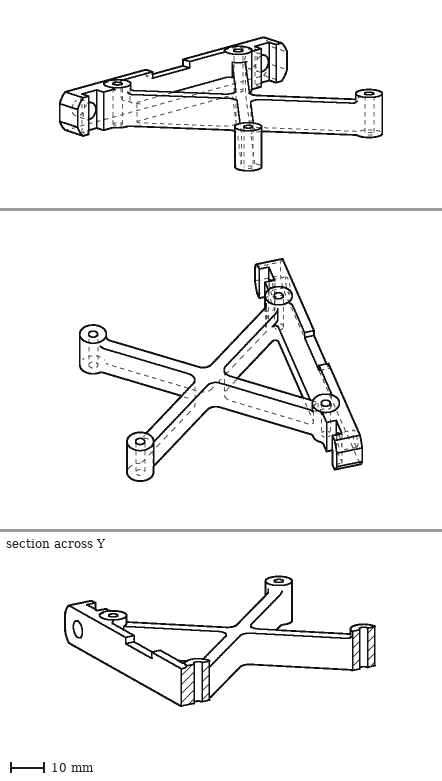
import cadquery as cq
import math

BAR_THICKNESS = 8.0
BAR_LENGTH = 85.0
BAR_HEIGHT = 12.0
MOUNT_SPACING = 70.0
MOUNT_HOLE_DIAMETER = 5.2
END_RADIUS = 8.0
NUT_SLOT_WIDTH = 6.0
NUT_SLOT_START_X = 5.0

WALL_THICKNESS = 3.0
RELIEF_FLOOR_Z = 6.0
NOTCH_WIDTH = 15.0
NOTCH_FLOOR_Z = 10.0

BOSS_DIAMETER = 8.0
BOSS_HEIGHT = 12.6
BOSS_HOLE_DIAMETER = 2.7
BOSS_SPACING_X = 58.0
BOSS_SPACING_Y = 49.0
BAR_BOSS_X = 6.0
ARM_WIDTH = 4.0
ARM_HEIGHT = 10.0

CROSS_FILLET = 3.0
JOINT_FILLET = 1.0

FAR_BOSS_X = BAR_BOSS_X + BOSS_SPACING_X
CROSS_X = BAR_BOSS_X + BOSS_SPACING_X / 2
BOSS_Y = BOSS_SPACING_Y / 2
BOSS_RADIUS = BOSS_DIAMETER / 2
BAR_BOSSES = [(BAR_BOSS_X, -BOSS_Y), (BAR_BOSS_X, BOSS_Y)]
FAR_BOSSES = [(FAR_BOSS_X, -BOSS_Y), (FAR_BOSS_X, BOSS_Y)]
ALL_BOSSES = BAR_BOSSES + FAR_BOSSES
MOUNT_YS = (-MOUNT_SPACING / 2, MOUNT_SPACING / 2)
BAR_Y_RANGE = (-BAR_LENGTH / 2, BAR_LENGTH / 2)


def block(x_range, y_range, z_range):
    """Axis-aligned block between the given limits."""
    ranges = (x_range, y_range, z_range)
    size = [high - low for low, high in ranges]
    low_corner = tuple(low for low, high in ranges)
    return cq.Workplane("XY").box(*size, centered=False).translate(low_corner)


def upright_edges_near(solid, x, y, reach, height):
    """Vertical edges of a prism of the given height within reach of (x, y)."""
    zone = cq.selectors.BoxSelector((x - reach, y - reach, 0), (x + reach, y + reach, height))
    return solid.edges("|Z").edges(zone)


def bosses(points, height):
    """Solid round bosses standing on Z = 0."""
    return cq.Workplane("XY").pushPoints(points).circle(BOSS_RADIUS).extrude(height)


def crossing_arms(height):
    """Two arms running diagonally between boss centres, rounded where they cross."""
    length = math.hypot(BOSS_SPACING_X, BOSS_SPACING_Y)
    angle = math.degrees(math.atan2(BOSS_SPACING_Y, BOSS_SPACING_X))
    arms = cq.Workplane("XY")
    for turn in (angle, -angle):
        arm = cq.Workplane("XY").rect(length, ARM_WIDTH).extrude(height)
        arms = arms.add(arm.rotate((0, 0, 0), (0, 0, 1), turn))
    arms = arms.combine()
    inner_edges = upright_edges_near(arms, 0, 0, 2 * ARM_WIDTH, height)
    return inner_edges.fillet(CROSS_FILLET).translate((CROSS_X, 0, 0))


def frame_plan(height):
    """Bar, arms and bosses as one flat prism with every inner joint rounded."""
    bar = block((0, BAR_THICKNESS), BAR_Y_RANGE, (0, height))
    plan = bar.union(crossing_arms(height)).union(bosses(ALL_BOSSES, height))
    for x, y in ALL_BOSSES:
        plan = upright_edges_near(plan, x, y, BOSS_DIAMETER, height).fillet(JOINT_FILLET)
    return plan


def flare(points, top_z):
    """Concave fillet rings around bosses that rise from a flat top at top_z."""
    core_radius = BOSS_RADIUS - JOINT_FILLET
    arc_reach = JOINT_FILLET * (1 - math.sqrt(0.5))
    ring = (
        cq.Workplane("XZ")
        .moveTo(core_radius, top_z)
        .lineTo(BOSS_RADIUS + JOINT_FILLET, top_z)
        .threePointArc(
            (BOSS_RADIUS + arc_reach, top_z + arc_reach),
            (BOSS_RADIUS, top_z + JOINT_FILLET),
        )
        .lineTo(core_radius, top_z + JOINT_FILLET)
        .close()
        .revolve(360, (0, 0, 0), (0, 1, 0))
    )
    rings = cq.Workplane("XY")
    for x, y in points:
        rings = rings.add(ring.translate((x, y, 0)))
    return rings.combine()


def bar_envelope():
    """Side outline of the bar, with ends rounded about the mounting holes."""
    half_length = BAR_LENGTH / 2
    middle_z = BAR_HEIGHT / 2
    end_offset = half_length - MOUNT_SPACING / 2
    flat_half = math.sqrt(END_RADIUS**2 - end_offset**2)
    straight_half = MOUNT_SPACING / 2 + math.sqrt(END_RADIUS**2 - middle_z**2)
    mid_angle = (math.asin(flat_half / END_RADIUS) + math.asin(middle_z / END_RADIUS)) / 2
    arc_y = MOUNT_SPACING / 2 + END_RADIUS * math.cos(mid_angle)
    arc_z = END_RADIUS * math.sin(mid_angle)
    return (
        cq.Workplane("YZ")
        .moveTo(-straight_half, -middle_z)
        .lineTo(straight_half, -middle_z)
        .threePointArc((arc_y, -arc_z), (half_length, -flat_half))
        .lineTo(half_length, flat_half)
        .threePointArc((arc_y, arc_z), (straight_half, middle_z))
        .lineTo(-straight_half, middle_z)
        .threePointArc((-arc_y, arc_z), (-half_length, flat_half))
        .lineTo(-half_length, -flat_half)
        .threePointArc((-arc_y, -arc_z), (-straight_half, -middle_z))
        .close()
        .extrude(BAR_THICKNESS + JOINT_FILLET)
        .translate((0, 0, middle_z))
    )


def relief_pocket():
    """Space to remove behind the front wall, between the bar bosses and clear of the arms."""
    outer_x = BAR_THICKNESS + 2 * JOINT_FILLET
    wall_to_boss = BAR_BOSS_X - WALL_THICKNESS
    half_width = BOSS_Y - math.sqrt(BOSS_RADIUS**2 - wall_to_boss**2)
    pocket = block(
        (WALL_THICKNESS, outer_x),
        (-half_width, half_width),
        (RELIEF_FLOOR_Z, BOSS_HEIGHT),
    )
    pocket = pocket.cut(bosses(BAR_BOSSES, BOSS_HEIGHT)).cut(crossing_arms(ARM_HEIGHT))
    pocket = pocket.edges("|Z and <X").fillet(JOINT_FILLET)
    return pocket.faces("<Z").edges("<X").fillet(JOINT_FILLET)


def bar_body(plan):
    """Full-height bar with its rounded joints to the bosses."""
    zone = block((0, BAR_THICKNESS + JOINT_FILLET), BAR_Y_RANGE, (0, BAR_HEIGHT))
    return plan.intersect(zone).intersect(bar_envelope())


def arm_body(plan):
    """Arms and boss lower ends beyond the bar, up to the arm tops."""
    zone = block((BAR_THICKNESS, FAR_BOSS_X + BOSS_DIAMETER), BAR_Y_RANGE, (0, ARM_HEIGHT))
    return plan.intersect(zone)


def arm_flares(plan, relief):
    """Fillets between arm tops and bosses; the +Y boss on the bar meets its arm sharply."""
    footprint = plan.cut(relief).union(crossing_arms(BOSS_HEIGHT))
    return flare(FAR_BOSSES + BAR_BOSSES[:1], ARM_HEIGHT).intersect(footprint)


def bar_flares(relief):
    """Fillets between the bar top and its bosses, cut off at the boss tops."""
    zone = block((0, BAR_THICKNESS), BAR_Y_RANGE, (BAR_HEIGHT, BOSS_HEIGHT))
    return flare(BAR_BOSSES, BAR_HEIGHT).intersect(zone).cut(relief)


def wall_notch():
    """Shallow gap in the top of the front wall, centred on the bar."""
    return block(
        (0, WALL_THICKNESS),
        (-NOTCH_WIDTH / 2, NOTCH_WIDTH / 2),
        (NOTCH_FLOOR_Z, BAR_HEIGHT),
    )


def mounting_holes():
    """Holes along X through the bar ends."""
    points = [(y, BAR_HEIGHT / 2) for y in MOUNT_YS]
    return cq.Workplane("YZ").pushPoints(points).circle(MOUNT_HOLE_DIAMETER / 2).extrude(BAR_THICKNESS)


def nut_slots():
    """Open slots through the full height behind the mounting holes."""
    slots = cq.Workplane("XY")
    for y in MOUNT_YS:
        y_range = (y - NUT_SLOT_WIDTH / 2, y + NUT_SLOT_WIDTH / 2)
        slots = slots.add(block((NUT_SLOT_START_X, BAR_THICKNESS), y_range, (0, BAR_HEIGHT)))
    return slots.combine()


def boss_holes():
    """Screw holes down through all four bosses."""
    holes = cq.Workplane("XY").pushPoints(ALL_BOSSES).circle(BOSS_HOLE_DIAMETER / 2)
    return holes.extrude(BOSS_HEIGHT)


plan = frame_plan(BOSS_HEIGHT)
relief = relief_pocket()

result = bar_body(plan).union(arm_body(plan)).cut(relief)
for addition in (arm_flares(plan, relief), bar_flares(relief), bosses(ALL_BOSSES, BOSS_HEIGHT)):
    result = result.union(addition)
for cutter in (wall_notch(), mounting_holes(), nut_slots(), boss_holes()):
    result = result.cut(cutter)